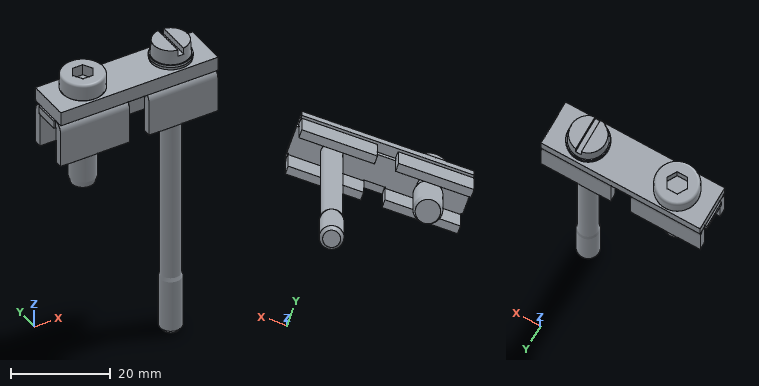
import cadquery as cq
import math


bar_length = 36.7
bar_width = 10.0
bar_thickness = 3.25

sheet_thickness = 1.75
bracket_length = bar_length
bracket_width = 9.8
bracket_depth = 10.2
bend_radius = 2.0
flange_gap = 4.5
strip_length = 37.5
strip_width = 5.9

screw_spacing = 20.5
socket_screw_x = -screw_spacing / 2
slotted_screw_x = screw_spacing / 2
neck_radius = 4.5 / 2

socket_head_radius = 9.5 / 2
socket_head_height = 4.0
socket_head_fillet = 0.6
socket_head_chamfer = 0.3
hex_across_flats = 4.1
hex_depth = 2.5
socket_thread_radius = 6.0 / 2
socket_neck_end_z = -6.7
socket_thread_start_z = -7.55
socket_tip_start_z = -18.2
socket_tip_z = -19.7
socket_tip_radius = 5.1 / 2

overall_height = 71.8
slotted_head_height = 4.35
drum_top_radius = 7.9 / 2
drum_base_radius = 8.4 / 2
collar_height = 1.08
collar_rim_height = 0.65
collar_radius = 9.1 / 2
collar_edge_radius = 8.9 / 2
slot_width = 1.3
slot_depth = 1.4
slotted_thread_radius = 5.0 / 2
slotted_neck_end_z = -50.3
slotted_thread_start_z = -51.15
slotted_tip_height = 0.95
slotted_tip_radius = 3.6 / 2


def turned(profile, x):
    """Revolve a closed list of (radius, z) points about the vertical axis at x."""
    solid = cq.Workplane("XZ").polyline(profile).close().revolve(360, (0, 0, 0), (0, 1, 0))
    return solid.translate((x, 0, 0))


def make_socket_screw():
    """Cylindrical head with a hexagon socket, and a shank with a reduced neck."""
    head_base = bar_thickness
    head = (
        cq.Workplane("XY")
        .workplane(offset=head_base)
        .circle(socket_head_radius)
        .extrude(socket_head_height)
    )
    head = head.faces(">Z").edges().fillet(socket_head_fillet)
    head = head.faces("<Z").edges().chamfer(socket_head_chamfer)
    hex_across_corners = hex_across_flats / math.cos(math.pi / 6)
    head = head.faces(">Z").workplane().polygon(6, hex_across_corners).cutBlind(-hex_depth)
    shank = turned(
        [
            (0, head_base),
            (neck_radius, head_base),
            (neck_radius, socket_neck_end_z),
            (socket_thread_radius, socket_thread_start_z),
            (socket_thread_radius, socket_tip_start_z),
            (socket_tip_radius, socket_tip_z),
            (0, socket_tip_z),
        ],
        socket_screw_x,
    )
    return head.translate((socket_screw_x, 0, 0)).union(shank)


def make_slotted_screw():
    """Long screw with a tapered slotted head on a collar and a thicker threaded end."""
    head_base = bar_thickness
    head_top = head_base + slotted_head_height
    tip_z = head_top - overall_height
    screw = turned(
        [
            (0, head_top),
            (drum_top_radius, head_top),
            (drum_base_radius, head_base + collar_height),
            (collar_edge_radius, head_base + collar_height),
            (collar_radius, head_base + collar_rim_height),
            (collar_edge_radius, head_base),
            (neck_radius, head_base),
            (neck_radius, slotted_neck_end_z),
            (slotted_thread_radius, slotted_thread_start_z),
            (slotted_thread_radius, tip_z + slotted_tip_height),
            (slotted_tip_radius, tip_z),
            (0, tip_z),
        ],
        slotted_screw_x,
    )
    slot = (
        cq.Workplane("XY")
        .box(slot_width, 2 * collar_radius, slot_depth, centered=(True, True, False))
        .translate((slotted_screw_x, 0, head_top - slot_depth))
    )
    return screw.cut(slot)


def make_link_bar():
    """Flat bar in one piece with its two screws."""
    bar = cq.Workplane("XY").box(bar_length, bar_width, bar_thickness, centered=(True, True, False))
    return bar.union(make_socket_screw()).union(make_slotted_screw())


def make_bracket():
    """Two U-shaped channels joined by a narrow strip, with holes for the screw necks."""
    channels = (
        cq.Workplane("XY")
        .box(bracket_length, bracket_width, bracket_depth, centered=(True, True, False))
        .translate((0, 0, -bracket_depth))
        .edges("|X and >Z")
        .fillet(bend_radius)
    )
    inside_width = bracket_width - 2 * sheet_thickness
    inside = (
        cq.Workplane("XY")
        .box(bracket_length, inside_width, bracket_depth, centered=(True, True, False))
        .translate((0, 0, -bracket_depth - sheet_thickness))
    )
    gap = cq.Workplane("XY").box(flange_gap, bracket_width, 2 * bracket_depth)
    strip = (
        cq.Workplane("XY")
        .box(strip_length, strip_width, sheet_thickness, centered=(True, True, False))
        .translate((0, 0, -sheet_thickness))
    )
    neck_holes = (
        cq.Workplane("XY")
        .pushPoints([(socket_screw_x, 0), (slotted_screw_x, 0)])
        .circle(neck_radius)
        .extrude(-sheet_thickness)
    )
    return channels.cut(inside).cut(gap).union(strip).cut(neck_holes)


link_bar = make_link_bar()
bracket = make_bracket()

result = cq.Compound.makeCompound([link_bar.solids().val(), bracket.solids().val()])